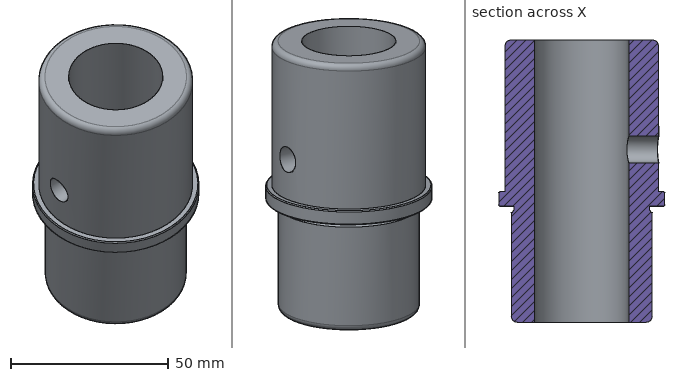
import cadquery as cq

length = 90.0
bore_diameter = 30.0
body_diameter = 49.05
flange_diameter = 53.0
shank_diameter = 45.0

flange_bottom = 37.0
flange_thickness = 4.8
flange_top = flange_bottom + flange_thickness

body_top_round = 2.0
flange_chamfer = 0.4
relief_width = 2.0
relief_depth = 0.7
relief_arc_radius = 1.5
shank_bottom_round = 2.0

cross_hole_diameter = 8.5
cross_hole_height = 55.1


def cylinder(diameter, bottom, top):
    return cq.Workplane("XY").workplane(offset=bottom).circle(diameter / 2).extrude(top - bottom)


def make_body():
    body = cylinder(body_diameter, flange_bottom, length)
    return body.faces(">Z").edges().fillet(body_top_round)


def make_flange():
    flange = cylinder(flange_diameter, flange_bottom, flange_top)
    return flange.edges().chamfer(flange_chamfer)


def make_shank():
    """Half profile with a rounded lower end and a concave relief under the flange."""
    radius = shank_diameter / 2
    relief_radius = radius - relief_depth
    profile = (
        cq.Workplane("XZ")
        .lineTo(radius - shank_bottom_round, 0)
        .radiusArc((radius, shank_bottom_round), -shank_bottom_round)
        .lineTo(radius, flange_bottom - relief_width)
        .radiusArc((relief_radius, flange_bottom), relief_arc_radius)
        .lineTo(0, flange_bottom)
        .close()
    )
    return profile.revolve(360, (0, 0, 0), (0, 1, 0))


def make_cross_hole():
    return (
        cq.Workplane("XZ", origin=(0, 0, cross_hole_height))
        .circle(cross_hole_diameter / 2)
        .extrude(flange_diameter / 2)
    )


bore = cylinder(bore_diameter, 0, length)
result = make_shank().union(make_flange()).union(make_body()).cut(bore).cut(make_cross_hole())